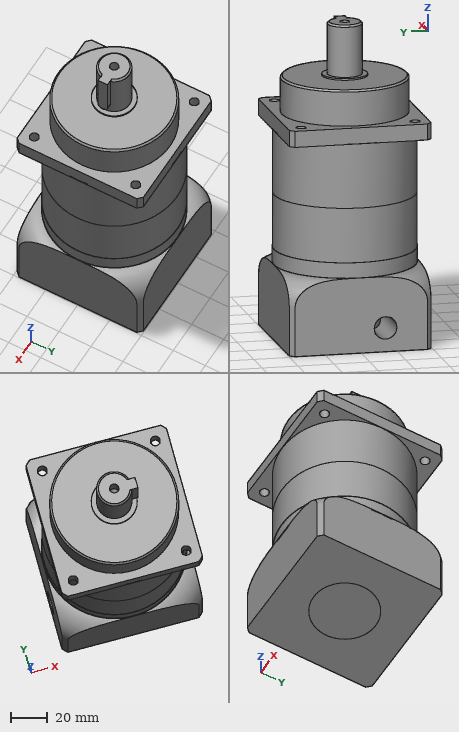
import cadquery as cq
import math

total_height = 176.0
shaft_shoulder_top = 147.0
pilot_top = 146.0
flange_top = 126.0
flange_bottom = 117.0
ring_gear_top = 81.1
adapter_top = 50.7
dome_top = 42.0
dome_bottom = 27.3

square_width = 79.0
corner_radius = 54.0
gearbox_diameter = 78.7
pilot_diameter = 70.0
shaft_diameter = 19.2
shaft_shoulder_diameter = 25.0
edge_chamfer = 1.0

key_width = 6.0
key_reach = 12.5
key_bottom = 151.2
centre_hole_diameter = 5.0
centre_hole_depth = 10.5
drill_point_angle = 118.0

screw_hole_diameter = 5.3
screw_hole_spacing = 63.5

hub_diameter = 39.0
access_hole_diameter = 12.5
access_hole_y = -13.5
access_hole_z = 13.4


def cylinder(diameter, bottom, top):
    """Solid cylinder on the Z axis between two heights."""
    return cq.Workplane("XY").workplane(offset=bottom).circle(diameter / 2).extrude(top - bottom)


def square_block(bottom, top):
    """Square block on the Z axis between two heights."""
    height = top - bottom
    block = cq.Workplane("XY").workplane(offset=bottom).rect(square_width, square_width)
    return block.extrude(height)


def make_key():
    """Upright key with a rounded lower end, flush with the top of the shaft."""
    end_radius = key_width / 2
    straight_bottom = key_bottom + end_radius
    outline = (
        cq.Workplane("YZ")
        .moveTo(-end_radius, total_height)
        .lineTo(-end_radius, straight_bottom)
        .threePointArc((0, key_bottom), (end_radius, straight_bottom))
        .lineTo(end_radius, total_height)
        .close()
    )
    return outline.extrude(key_reach)


def make_centre_hole():
    """Blind drilled hole in the shaft end, with a conical bottom."""
    radius = centre_hole_diameter / 2
    point_length = radius / math.tan(math.radians(drill_point_angle / 2))
    floor = total_height - centre_hole_depth
    profile = (
        cq.Workplane("XZ")
        .moveTo(0, total_height)
        .lineTo(radius, total_height)
        .lineTo(radius, floor)
        .lineTo(0, floor - point_length)
        .close()
    )
    return profile.revolve(360, (0, 0, 0), (0, 1, 0))


def make_shaft():
    """Output shaft with its shoulder and key in one piece."""
    journal = cylinder(shaft_diameter, pilot_top, total_height).faces(">Z").chamfer(edge_chamfer)
    shoulder = cylinder(shaft_shoulder_diameter, pilot_top, shaft_shoulder_top)
    return journal.union(shoulder).union(make_key()).cut(make_centre_hole())


def make_output_housing():
    """Round housing with a square mounting flange and a chamfered pilot."""
    barrel = cylinder(gearbox_diameter, ring_gear_top, flange_bottom)
    pilot = cylinder(pilot_diameter, flange_top, pilot_top).faces(">Z").chamfer(edge_chamfer)
    corner_trim = cylinder(2 * corner_radius, flange_bottom, flange_top)
    flange = square_block(flange_bottom, flange_top).intersect(corner_trim)
    screw_holes = (
        cq.Workplane("XY")
        .workplane(offset=flange_bottom)
        .rect(screw_hole_spacing, screw_hole_spacing, forConstruction=True)
        .vertices()
        .circle(screw_hole_diameter / 2)
        .extrude(flange_top - flange_bottom)
    )
    return flange.cut(screw_holes).union(barrel).union(pilot)


def make_ring_gear():
    """Plain round section between the output housing and the motor adapter."""
    return cylinder(gearbox_diameter, adapter_top, ring_gear_top)


def make_adapter_turning():
    """Turned shape of the adapter: wide base, quarter-round dome and round neck."""
    neck_radius = square_width / 2
    dome_height = dome_top - dome_bottom
    dome_centre_radius = corner_radius - dome_height
    diagonal = dome_height * math.sqrt(0.5)
    profile = (
        cq.Workplane("XZ")
        .lineTo(corner_radius, 0)
        .lineTo(corner_radius, dome_bottom)
        .threePointArc(
            (dome_centre_radius + diagonal, dome_bottom + diagonal),
            (dome_centre_radius, dome_top),
        )
        .lineTo(neck_radius, dome_top)
        .lineTo(neck_radius, adapter_top)
        .lineTo(0, adapter_top)
        .close()
    )
    return profile.revolve(360, (0, 0, 0), (0, 1, 0))


def make_input_hub():
    """Input hub on the axis, filling the bore of the motor adapter."""
    return cylinder(hub_diameter, 0, adapter_top)


def make_motor_adapter():
    """Square motor adapter with domed corners, a bore for the hub and a side access hole."""
    body = make_adapter_turning().intersect(square_block(0, adapter_top))
    access_hole = (
        cq.Workplane("YZ")
        .center(access_hole_y, access_hole_z)
        .circle(access_hole_diameter / 2)
        .extrude(-square_width / 2)
    )
    return body.cut(make_input_hub()).cut(access_hole)


shaft = make_shaft()
output_housing = make_output_housing()
ring_gear = make_ring_gear()
motor_adapter = make_motor_adapter()
input_hub = make_input_hub()

result = cq.Compound.makeCompound(
    [shaft.val(), output_housing.val(), ring_gear.val(), motor_adapter.val(), input_hub.val()]
)